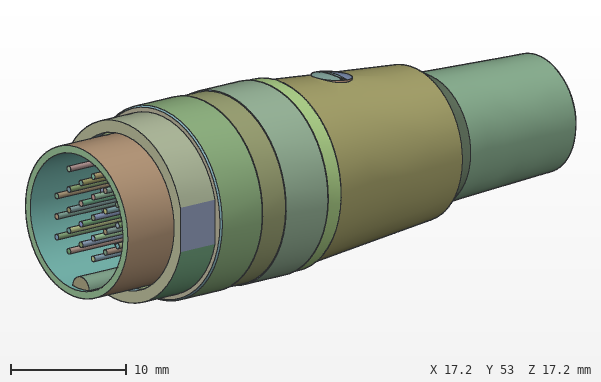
import cadquery as cq
import math


LENGTH = 53.0
COLLAR_START = 5.1
SLEEVE_START = 9.05
GRIP_START = 13.9
GRIP_END = 16.5
REAR_BAND_START = 21.4
SLEEVE_END = 23.0
SHELL_END = 38.1
BOOT_START = 40.0
END_CHAMFER_LENGTH = 0.5

NOSE_RADIUS = 6.75
COLLAR_RADIUS = 8.05
SLEEVE_RADIUS = 8.6
BAND_RADIUS = 8.5
SHELL_FRONT_RADIUS = 8.25
SHELL_REAR_RADIUS = 6.9
BOOT_FRONT_RADIUS = 5.8
BOOT_REAR_RADIUS = 5.25
BOOT_END_RADIUS = 4.7
EDGE_CHAMFER = 0.15

FLAT_DISTANCE = 7.8
GAP_RADIUS = 6.97
GAP_DEPTH = 1.0

SOCKET_RADIUS = 6.1
SOCKET_DEPTH = 8.0
KEY_RADIUS = 1.1
KEY_SETBACK = 0.5
PIN_RADIUS = 0.25
PIN_SETBACK = 1.2
PIN_COLUMN_PITCH = 1.6
PIN_ROW_PITCH = PIN_COLUMN_PITCH * 2 / math.sqrt(3)
PIN_ARRAY_RISE = 0.35
PIN_COLUMNS = [(-2.5, 3, -0.5), (-1.5, 5, 0), (-0.5, 4, 0), (0.5, 5, 0), (1.5, 4, 0), (2.5, 3, 0)]

SCREW_Y = 29.15
SCREW_RADIUS = 1.8
SCREW_BODY_DEPTH = 1.5
SCREW_DOME_RISE = 0.2
SLOT_WIDTH = 0.4
SLOT_DEPTH = 0.2


def cylinder(radius, start, end, x=0.0, z=0.0):
    """Cylinder along Y between two axial positions."""
    plane = cq.Plane(origin=(x, start, z), xDir=(1, 0, 0), normal=(0, 1, 0))
    return cq.Workplane(plane).circle(radius).extrude(end - start)


def make_body():
    """Turned outside of nose, collar, sleeve, tapered shell and cable boot."""
    edge_radius = SLEEVE_RADIUS - EDGE_CHAMFER
    profile = [
        (0, 0),
        (0, NOSE_RADIUS),
        (COLLAR_START + GAP_DEPTH, NOSE_RADIUS),
        (COLLAR_START + GAP_DEPTH, GAP_RADIUS),
        (COLLAR_START, GAP_RADIUS),
        (COLLAR_START, COLLAR_RADIUS),
        (SLEEVE_START, COLLAR_RADIUS),
        (SLEEVE_START, edge_radius),
        (SLEEVE_START + EDGE_CHAMFER, SLEEVE_RADIUS),
        (GRIP_START - EDGE_CHAMFER, SLEEVE_RADIUS),
        (GRIP_START, edge_radius),
        (GRIP_START, BAND_RADIUS),
        (GRIP_END, BAND_RADIUS),
        (GRIP_END, SLEEVE_RADIUS),
        (REAR_BAND_START - EDGE_CHAMFER, SLEEVE_RADIUS),
        (REAR_BAND_START, edge_radius),
        (REAR_BAND_START, BAND_RADIUS),
        (SLEEVE_END - EDGE_CHAMFER, BAND_RADIUS),
        (SLEEVE_END, BAND_RADIUS - EDGE_CHAMFER),
        (SLEEVE_END, SHELL_FRONT_RADIUS),
        (SHELL_END, SHELL_REAR_RADIUS),
        (BOOT_START, BOOT_FRONT_RADIUS),
        (LENGTH - END_CHAMFER_LENGTH, BOOT_REAR_RADIUS),
        (LENGTH, BOOT_END_RADIUS),
        (LENGTH, 0),
    ]
    return cq.Workplane("YZ").polyline(profile).close().revolve(360, (0, 0, 0), (1, 0, 0))


def cut_flats(body):
    """Trim the collar to a flat on the -X and +X sides."""
    depth = COLLAR_RADIUS - FLAT_DISTANCE
    length = SLEEVE_START - COLLAR_START
    block = cq.Workplane("XY").box(depth, length, 2 * COLLAR_RADIUS, centered=(True, False, True))
    for side in (-1, 1):
        body = body.cut(block.translate((side * (FLAT_DISTANCE + depth / 2), COLLAR_START, 0)))
    return body


def cut_socket(body):
    """Bore the socket from the mating face."""
    return body.cut(cylinder(SOCKET_RADIUS, 0, SOCKET_DEPTH))


def add_key(body):
    """Half-round key along the bottom of the socket."""
    key = cylinder(KEY_RADIUS, KEY_SETBACK, SOCKET_DEPTH, z=-SOCKET_RADIUS)
    nose_limit = cylinder((SOCKET_RADIUS + NOSE_RADIUS) / 2, KEY_SETBACK, SOCKET_DEPTH)
    return body.union(key.intersect(nose_limit))


def add_pins(body):
    """Contact pins in staggered columns, rooted in the socket floor."""
    for column, count, shift in PIN_COLUMNS:
        x = column * PIN_COLUMN_PITCH
        for row in range(count):
            z = PIN_ARRAY_RISE + (row - (count - 1) / 2 + shift) * PIN_ROW_PITCH
            body = body.union(cylinder(PIN_RADIUS, PIN_SETBACK, SOCKET_DEPTH, x, z))
    return body


def add_screw(body):
    """Domed, slotted screw head standing square to the tapered shell."""
    slope = (SHELL_REAR_RADIUS - SHELL_FRONT_RADIUS) / (SHELL_END - SLEEVE_END)
    surface_z = SHELL_FRONT_RADIUS + slope * (SCREW_Y - SLEEVE_END)
    plane = cq.Plane(origin=(0, SCREW_Y, surface_z), xDir=(1, 0, 0), normal=(0, -slope, 1))

    dome_radius = (SCREW_RADIUS**2 + SCREW_DOME_RISE**2) / (2 * SCREW_DOME_RISE)
    dome = cq.Workplane(plane).sphere(dome_radius)
    dome = dome.translate(plane.zDir * (SCREW_DOME_RISE - dome_radius))
    screw = (
        cq.Workplane(plane)
        .workplane(offset=-SCREW_BODY_DEPTH)
        .circle(SCREW_RADIUS)
        .extrude(SCREW_BODY_DEPTH + SCREW_DOME_RISE)
        .intersect(dome)
    )
    slot = (
        cq.Workplane(plane)
        .workplane(offset=SCREW_DOME_RISE)
        .rect(2 * SCREW_RADIUS, SLOT_WIDTH)
        .extrude(-SLOT_DEPTH)
    )
    return body.union(screw).cut(slot)


connector = cut_flats(make_body())
connector = cut_socket(connector)
connector = add_key(connector)
connector = add_pins(connector)
result = add_screw(connector)